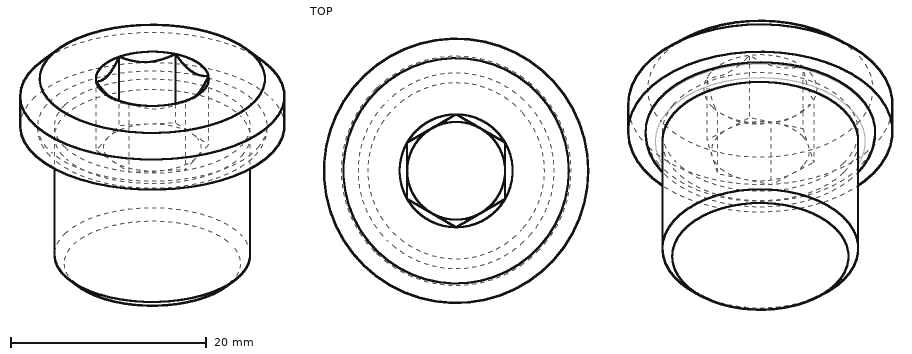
import cadquery as cq
import math

HEAD_DIAMETER = 27.0
HEAD_HEIGHT = 5.5
HEAD_CHAMFER = 2.0
SHANK_DIAMETER = 20.0
SHANK_CHAMFER = 1.0
TOTAL_HEIGHT = 21.5

SEAL_DIAMETER = 23.44
SEAL_HEIGHT = 1.22
SEAL_FILLET = 1.0

HEX_ACROSS_FLATS = 10.0
HEX_DEPTH = 8.0
DRILL_POINT_ANGLE = 120.0

HEAD_BOTTOM = TOTAL_HEIGHT - HEAD_HEIGHT
HEX_ACROSS_CORNERS = HEX_ACROSS_FLATS / math.cos(math.radians(30))
HEX_FLOOR = TOTAL_HEIGHT - HEX_DEPTH


def make_cone(base_radius, height, base_z):
    """Downward-pointing cone whose circular base lies at base_z."""
    return cq.Workplane(cq.Solid.makeCone(
        base_radius, 0, height, cq.Vector(0, 0, base_z), cq.Vector(0, 0, -1)))


def make_socket_cutters():
    """Cutting shapes: hexagon with corners on Y, 45 degree lead-in and drill point."""
    hexagon = (
        cq.Workplane("XY", origin=(0, 0, HEX_FLOOR))
        .polygon(6, HEX_ACROSS_CORNERS)
        .extrude(HEX_DEPTH)
        .rotate((0, 0, 0), (0, 0, 1), 30)
    )
    corner_radius = HEX_ACROSS_CORNERS / 2
    lead_in = make_cone(corner_radius, corner_radius, TOTAL_HEIGHT)
    drill_radius = HEX_ACROSS_FLATS / 2
    drill_depth = drill_radius / math.tan(math.radians(DRILL_POINT_ANGLE / 2))
    drill_point = make_cone(drill_radius, drill_depth, HEX_FLOOR)
    return [hexagon, lead_in, drill_point]


def make_plug():
    """Screw plug: chamfered shank and head with a hexagon socket."""
    shank = (
        cq.Workplane("XY")
        .circle(SHANK_DIAMETER / 2)
        .extrude(HEAD_BOTTOM)
        .faces("<Z")
        .chamfer(SHANK_CHAMFER)
    )
    head = (
        cq.Workplane("XY", origin=(0, 0, HEAD_BOTTOM))
        .circle(HEAD_DIAMETER / 2)
        .extrude(HEAD_HEIGHT)
        .faces(">Z")
        .chamfer(HEAD_CHAMFER)
    )
    plug_body = shank.union(head)
    for cutter in make_socket_cutters():
        plug_body = plug_body.cut(cutter)
    return plug_body.solids()


def make_seal():
    """Sealing ring around the shank, under the head, with a rounded lower rim."""
    disc = (
        cq.Workplane("XY", origin=(0, 0, HEAD_BOTTOM - SEAL_HEIGHT))
        .circle(SEAL_DIAMETER / 2)
        .extrude(SEAL_HEIGHT)
        .faces("<Z")
        .edges()
        .fillet(SEAL_FILLET)
    )
    bore = (
        cq.Workplane("XY", origin=(0, 0, HEAD_BOTTOM - SEAL_HEIGHT))
        .circle(SHANK_DIAMETER / 2)
        .extrude(SEAL_HEIGHT)
    )
    return disc.cut(bore).solids()


plug = make_plug()
seal = make_seal()

result = cq.Compound.makeCompound([plug.val(), seal.val()])